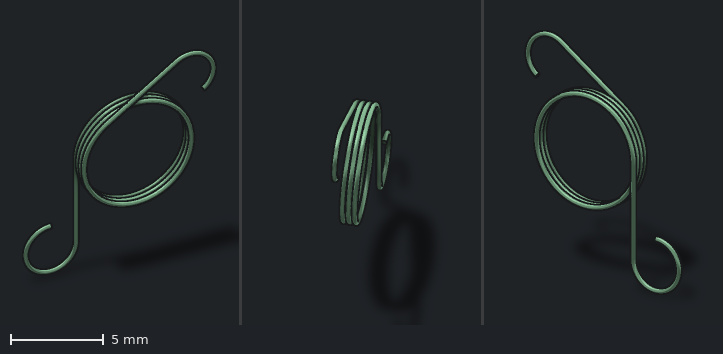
import cadquery as cq
import math

wire_diameter = 0.33
overall_width = 1.4
coil_radius = 3.25
full_turns = 3
upper_arm_angle = 55.2
lower_arm_length = 5.48
lower_hook_radius = 1.5
lower_hook_sweep = 270.0
upper_arm_length = 5.01
upper_hook_radius = 1.39
upper_hook_sweep = 182.0

coil_length = overall_width - wire_diameter
turns = full_turns + upper_arm_angle / 360
pitch = coil_length / turns
lower_x = -coil_length / 2
upper_x = coil_length / 2


def polar(center, radius, angle):
    """Point (y, z) on a circle; the angle runs from -Y towards +Z."""
    a = math.radians(angle)
    return (center[0] - radius * math.cos(a), center[1] + radius * math.sin(a))


def point(x, yz):
    return cq.Vector(x, yz[0], yz[1])


def wire_along(path, start, direction):
    """Round wire swept along a path."""
    section = cq.Workplane(cq.Plane(start, xDir=(1, 0, 0), normal=direction))
    return section.circle(wire_diameter / 2).sweep(cq.Workplane(obj=path), isFrenet=True)


def hooked_arm(x, arm_start, arm_end, hook_center, hook_radius, start_angle, sweep):
    """Straight arm running tangentially into a round hook."""
    start = point(x, arm_start)
    end = point(x, arm_end)
    hook_middle = point(x, polar(hook_center, hook_radius, start_angle + sweep / 2))
    hook_tip = point(x, polar(hook_center, hook_radius, start_angle + sweep))
    arm = cq.Edge.makeLine(start, end)
    hook = cq.Edge.makeThreePointArc(end, hook_middle, hook_tip)
    path = cq.Wire.assembleEdges([arm, hook])
    return wire_along(path, start, end - start)


helix = cq.Wire.makeHelix(pitch, coil_length, coil_radius, lefthand=True)
helix = helix.rotate(cq.Vector(0, 0, 0), cq.Vector(0, 1, 0), 90)
helix = helix.rotate(cq.Vector(0, 0, 0), cq.Vector(1, 0, 0), -90)
helix = helix.translate(cq.Vector(lower_x, 0, 0))
coil_start = polar((0, 0), coil_radius, 0)
coil = wire_along(helix, point(lower_x, coil_start), cq.Vector(0, 0, 1))

lower_arm_end = (coil_start[0], -lower_arm_length)
lower_hook_center = (lower_arm_end[0] - lower_hook_radius, lower_arm_end[1])
lower_arm = hooked_arm(
    lower_x, coil_start, lower_arm_end,
    lower_hook_center, lower_hook_radius, 180, lower_hook_sweep,
)

coil_end = polar((0, 0), coil_radius, upper_arm_angle)
upper_arm_end = polar(coil_end, upper_arm_length, upper_arm_angle + 90)
upper_hook_center = polar(upper_arm_end, -upper_hook_radius, upper_arm_angle)
upper_arm = hooked_arm(
    upper_x, coil_end, upper_arm_end,
    upper_hook_center, upper_hook_radius, upper_arm_angle, upper_hook_sweep,
)

result = coil.union(lower_arm).union(upper_arm)